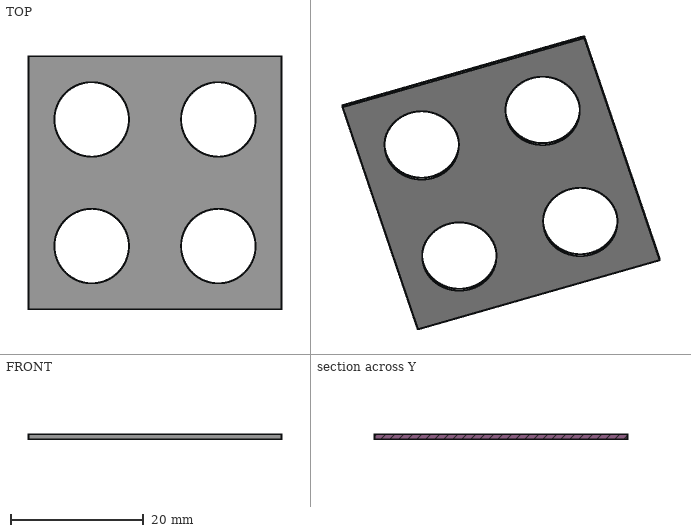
import cadquery as cq

plate_side = 38.1
plate_thickness = 0.79

hole_diameter = 11.18
holes_per_side = 2
hole_pitch = plate_side / holes_per_side


def make_plate():
    """Flat square plate with its underside on Z = 0."""
    return cq.Workplane("XY").box(
        plate_side, plate_side, plate_thickness, centered=(True, True, False)
    )


def cut_holes(plate):
    """Cut the square grid of round through holes."""
    return (
        plate.faces(">Z")
        .workplane(origin=(0, 0, plate_thickness))
        .rarray(hole_pitch, hole_pitch, holes_per_side, holes_per_side)
        .hole(hole_diameter)
    )


result = cut_holes(make_plate())